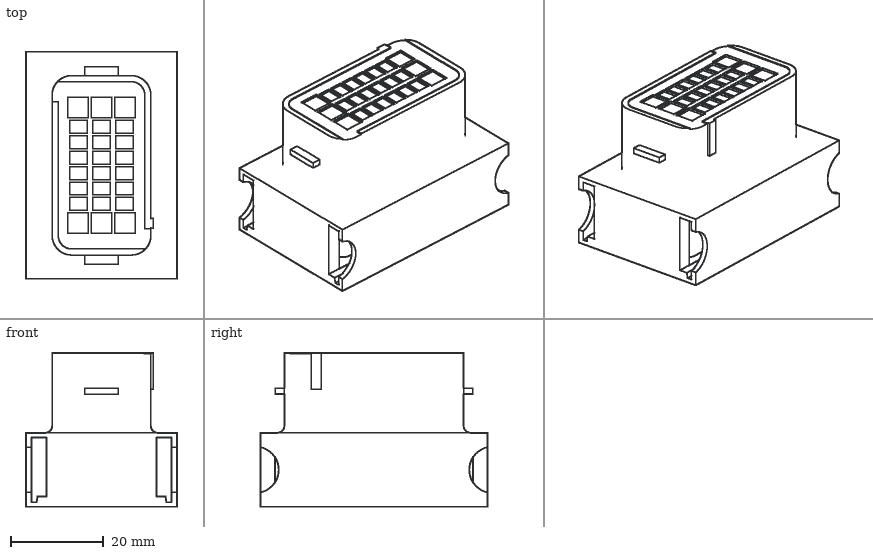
import cadquery as cq

housing_width = 32.65
housing_length = 49.1
housing_height = 16.0
side_wall = 1.25
top_wall = 1.05

rail_height = 2.25
rail_inner_x = 11.95
rail_top_outer_x = 13.85
rail_foot_outer_x = 14.05
groove_floor_height = 1.05

end_plate_thickness = 3.2

notch_radius = 5.0
notch_depth = 3.95

tower_width = 21.35
tower_length = 38.8
tower_corner_radius = 4.2
tower_foot_fillet = 1.5
overall_height = 33.3
rim_height = 0.2

core_inset = 2.2
core_bottom_height = 1.05

rim_width = 1.35
rim_end_y = 13.75

key_projection = 0.55
key_width = 2.1
key_end_y = -13.55
key_height = 7.9

rib_width = 7.15
rib_thickness = 1.3
rib_bottom_height = 24.35
rib_projection = 1.95

pocket_depth = 0.5
large_pocket_size = 4.4
large_pocket_pitch_x = 5.05
large_pocket_y = 12.45
small_pocket_width = 3.8
small_pocket_length = 2.8
small_pocket_pitch_x = 4.95
small_pocket_pitch_y = 3.35
pocket_columns = 3
small_pocket_rows = 6

tower_face_height = overall_height - rim_height
inner_half_width = housing_width / 2 - side_wall
ceiling_height = housing_height - top_wall


def box_between(x_range, y_range, z_range):
    """Box spanning the given (low, high) limits on each axis."""
    sizes = [high - low for low, high in (x_range, y_range, z_range)]
    corner = (x_range[0], y_range[0], z_range[0])
    return cq.Workplane("XY").box(*sizes, centered=False).translate(corner)


def rounded_block(width, length, corner_radius, bottom, top):
    """Upright block with rounded vertical edges, centred on the Z axis."""
    return (
        cq.Workplane("XY", origin=(0, 0, bottom))
        .rect(width, length)
        .extrude(top - bottom)
        .edges("|Z")
        .fillet(corner_radius)
    )


def make_outer_body():
    """Solid housing with the tower on top and a fillet around its foot."""
    housing = cq.Workplane("XY").box(
        housing_width, housing_length, housing_height, centered=(True, True, False)
    )
    tower = rounded_block(
        tower_width, tower_length, tower_corner_radius, housing_height, tower_face_height
    )
    body = housing.union(tower)
    top_face = body.faces("|Z").faces(">Z[-2]")
    foot = top_face.edges("not (<X or >X or <Y or >Y)")
    return foot.fillet(tower_foot_fillet)


def make_side_channels():
    """Channels along both sides, each with a narrow groove beside its rail."""
    right = (
        cq.Workplane("XZ", origin=(0, housing_length / 2, 0))
        .moveTo(rail_inner_x, ceiling_height)
        .lineTo(inner_half_width, ceiling_height)
        .lineTo(inner_half_width, groove_floor_height)
        .lineTo(rail_foot_outer_x, groove_floor_height)
        .lineTo(rail_top_outer_x, rail_height)
        .lineTo(rail_inner_x, rail_height)
        .close()
        .extrude(housing_length)
    )
    return right.union(right.mirror("YZ"))


def make_central_cavity():
    """Space between the end plates, open underneath, around the core."""
    half_length = housing_length / 2 - end_plate_thickness
    cavity = box_between(
        (-rail_inner_x, rail_inner_x), (-half_length, half_length), (0, ceiling_height)
    )
    core = rounded_block(
        tower_width - 2 * core_inset,
        tower_length - 2 * core_inset,
        tower_corner_radius - core_inset,
        core_bottom_height,
        ceiling_height,
    )
    return cavity.cut(core)


def make_side_notches():
    """Round cutters at both housing ends, limited to the two side walls."""
    notch_y = housing_length / 2 - notch_depth + notch_radius
    cutters = (
        cq.Workplane("YZ")
        .pushPoints([(-notch_y, housing_height / 2), (notch_y, housing_height / 2)])
        .circle(notch_radius)
        .extrude(housing_width / 2, both=True)
    )
    between_walls = box_between(
        (-inner_half_width, inner_half_width), (-housing_length, housing_length), (0, housing_height)
    )
    return cutters.cut(between_walls)


def make_rim_strip():
    """Raised L along the +X side and +Y end of the tower face."""
    outer = rounded_block(
        tower_width, tower_length, tower_corner_radius, tower_face_height, overall_height
    )
    inner_x = tower_width / 2 - rim_width
    inner_y = tower_length / 2 - rim_width
    z_range = (tower_face_height, overall_height)
    inside = (
        box_between((-tower_width, inner_x), (-tower_length, inner_y), z_range)
        .edges("|Z and >X and >Y")
        .fillet(tower_corner_radius - rim_width)
    )
    beyond_end = box_between((-tower_width, tower_width), (-tower_length, -rim_end_y), z_range)
    return outer.cut(inside).cut(beyond_end)


def make_key():
    """Upright key on the +X side, flush with the top of the rim strip."""
    return box_between(
        (tower_width / 2 - rim_width, tower_width / 2 + key_projection),
        (key_end_y, key_end_y + key_width),
        (overall_height - key_height, overall_height),
    )


def make_latch_ribs():
    """Horizontal bar whose two ends stand out from the tower ends."""
    half_length = tower_length / 2 + rib_projection
    return box_between(
        (-rib_width / 2, rib_width / 2),
        (-half_length, half_length),
        (rib_bottom_height, rib_bottom_height + rib_thickness),
    )


def make_pockets():
    """Shallow rectangular pockets: a small grid with a large row at each end."""
    floor = cq.Workplane("XY", origin=(0, 0, tower_face_height - pocket_depth))
    large = (
        floor.rarray(large_pocket_pitch_x, 2 * large_pocket_y, pocket_columns, 2)
        .rect(large_pocket_size, large_pocket_size)
        .extrude(pocket_depth)
    )
    small = (
        floor.rarray(small_pocket_pitch_x, small_pocket_pitch_y, pocket_columns, small_pocket_rows)
        .rect(small_pocket_width, small_pocket_length)
        .extrude(pocket_depth)
    )
    return large.union(small)


rim_strip = make_rim_strip()

result = (
    make_outer_body()
    .cut(make_side_channels())
    .cut(make_central_cavity())
    .cut(make_side_notches())
    .union(rim_strip)
    .union(rim_strip.rotate((0, 0, 0), (0, 0, 1), 180))
    .union(make_key())
    .union(make_latch_ribs())
    .cut(make_pockets())
)